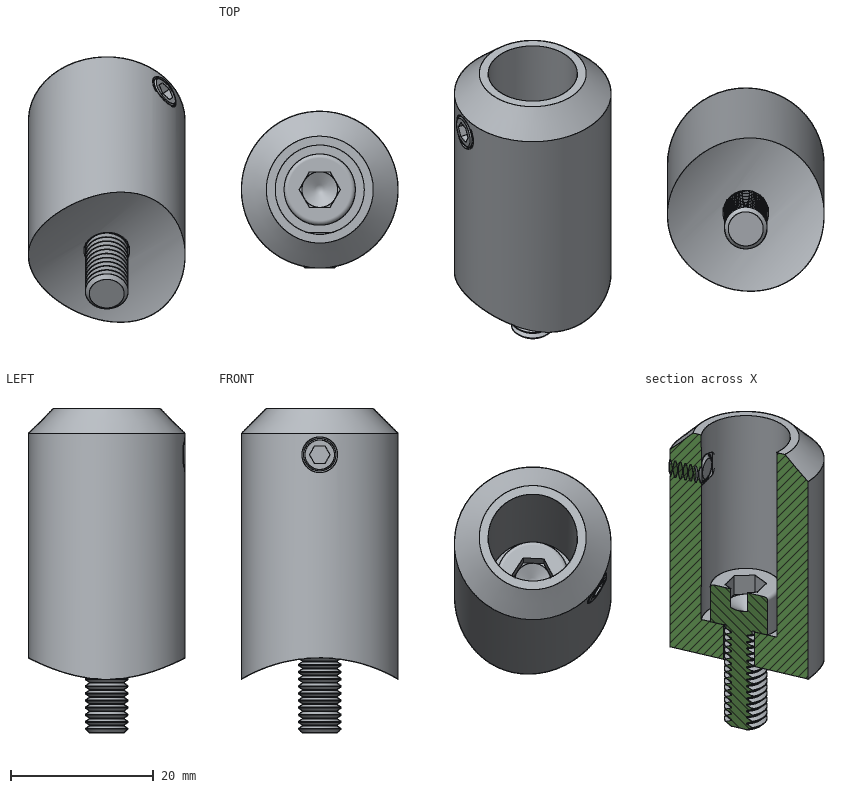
import cadquery as cq
import math

post_diameter = 22.0
post_radius = post_diameter / 2
crest_height = 35.0
top_chamfer = 3.5
bore_diameter = 12.5
saddle_drop = 3.0
saddle_radius = (post_radius**2 + saddle_drop**2) / (2 * saddle_drop)

screw_diameter = 6.0
screw_pitch = 1.0
screw_length = 16.0
screw_protrusion = 10.5
screw_end_chamfer = 0.55
last_crest_height = 0.53
clearance_diameter = 6.4
head_diameter = 10.0
head_height = 6.0
head_fillet = 0.6
head_socket_width = 5.0
head_socket_depth = 3.0
head_socket_tip_angle = 120.0
floor_height = screw_length - screw_protrusion

grub_diameter = 5.0
grub_pitch = 0.8
grub_drop = 6.5
grub_length = 5.0
grub_face_diameter = 4.13
grub_tip_diameter = 3.0
grub_socket_width = 2.5
grub_socket_depth = 2.5
grub_nose_diameter = 4.54
grub_lead_in = 0.3

thread_depth_ratio = 0.5413
crest_flat_ratio = 1 / 8
root_flat_ratio = 1 / 8

grub_first_groove = grub_lead_in + (1 - crest_flat_ratio) * grub_pitch / 2


def thread_groove(diameter, pitch, height):
    """Ring with the cross-section of one thread groove, centred at the given height."""
    outer = diameter / 2
    root = outer - thread_depth_ratio * pitch
    half_root = root_flat_ratio * pitch / 2
    half_mouth = (1 - crest_flat_ratio) * pitch / 2
    relief = outer + pitch
    outline = [
        (root, height - half_root),
        (outer, height - half_mouth),
        (relief, height - half_mouth),
        (relief, height + half_mouth),
        (outer, height + half_mouth),
        (root, height + half_root),
    ]
    return cq.Workplane("XZ").polyline(outline).close().revolve(360, (0, 0, 0), (0, 1, 0))


def cut_thread(rod, diameter, pitch, first_groove, top):
    """Cut evenly pitched grooves from the first groove up to the given height."""
    count = math.floor((top - first_groove) / pitch) + 1
    for index in range(count):
        rod = rod.cut(thread_groove(diameter, pitch, first_groove + index * pitch))
    return rod


def hexagon_prism(width, height):
    """Hexagon by width across flats, corners on X, from Z = 0 to the given height (negative goes down)."""
    corner_diameter = width / math.cos(math.pi / 6)
    return cq.Workplane("XY").polygon(6, corner_diameter).extrude(height)


def place_grub(shape):
    """Turn a shape built along Z to run inward along +Y from the outer wall."""
    return shape.rotate((0, 0, 0), (1, 0, 0), -90).translate((0, -post_radius, crest_height - grub_drop))


def threaded_grub_rod():
    """Threaded rod along Z, starting at the outer wall at Z = 0; it shapes both the screw and its hole."""
    rod = cq.Workplane("XY").circle(grub_diameter / 2).extrude(grub_length)
    return cut_thread(rod, grub_diameter, grub_pitch, grub_first_groove, grub_length)


def make_housing():
    post = cq.Workplane("XY").workplane(offset=-saddle_drop).circle(post_radius)
    post = post.extrude(crest_height + saddle_drop).faces(">Z").chamfer(top_chamfer)
    saddle = cq.Workplane("XZ").center(0, -saddle_radius).circle(saddle_radius)
    saddle = saddle.extrude(post_radius, both=True)
    bore = cq.Workplane("XY").workplane(offset=floor_height).circle(bore_diameter / 2).extrude(crest_height)
    clearance = cq.Workplane("XY").circle(clearance_diameter / 2).extrude(floor_height, both=True)
    return post.cut(saddle).cut(bore).cut(clearance).cut(place_grub(threaded_grub_rod()))


def make_cap_screw():
    shank = cq.Workplane("XY").workplane(offset=-screw_protrusion).circle(screw_diameter / 2)
    shank = shank.extrude(screw_length).faces("<Z").chamfer(screw_end_chamfer)
    first_groove = last_crest_height - screw_protrusion + screw_pitch / 2
    shank = cut_thread(shank, screw_diameter, screw_pitch, first_groove, floor_height - screw_pitch / 2)

    head = cq.Workplane("XY").workplane(offset=floor_height).circle(head_diameter / 2)
    head = head.extrude(head_height).faces(">Z").edges().fillet(head_fillet)

    tip_radius = head_socket_width / 2
    tip_depth = tip_radius / math.tan(math.radians(head_socket_tip_angle / 2))
    tip_start = cq.Vector(0, 0, -head_socket_depth)
    downward = cq.Vector(0, 0, -1)
    tip = cq.Solid.makeCone(tip_radius, 0, tip_depth, tip_start, downward)
    socket = hexagon_prism(head_socket_width, -head_socket_depth).union(cq.Workplane(tip))
    return shank.union(head).cut(socket.translate((0, 0, floor_height + head_height)))


def make_grub_screw():
    outer = grub_diameter / 2
    face_radius = grub_face_diameter / 2
    nose_radius = grub_nose_diameter / 2
    tip_radius = grub_tip_diameter / 2
    outline = [
        (0, 0),
        (face_radius, 0),
        (nose_radius, nose_radius - face_radius),
        (nose_radius, grub_first_groove),
        (outer, grub_first_groove),
        (outer, grub_length - (outer - tip_radius)),
        (tip_radius, grub_length),
        (0, grub_length),
    ]
    blank = cq.Workplane("XZ").polyline(outline).close().revolve(360, (0, 0, 0), (0, 1, 0))
    socket = hexagon_prism(grub_socket_width, grub_socket_depth)
    return place_grub(threaded_grub_rod().intersect(blank).cut(socket))


housing = make_housing().solids()
cap_screw = make_cap_screw().solids()
grub_screw = make_grub_screw().solids()

result = cq.Compound.makeCompound([housing.val(), cap_screw.val(), grub_screw.val()])